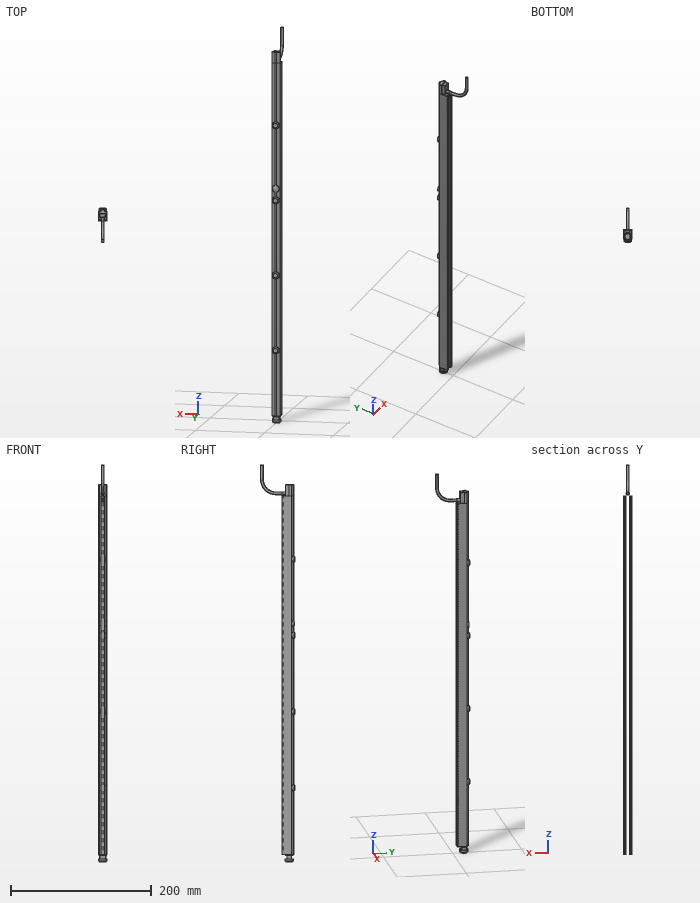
import cadquery as cq
import math

overall_depth = 49.1
overall_height = 564.2

width = 12.0
depth = 17.0
side_depth = 13.6
back_radius = 7.0
back_land_width = 2.0
length = 510.0

slot_mouth_width = 5.0
slot_lip = 0.8
slot_depth = 2.0
slot_cavity_width = 8.6

screw_z = length - 5.7
screw_recess_diameter = 4.8
screw_recess_depth = 2.0
screw_socket_across = 2.5
screw_socket_depth = 1.5

cap_height = 16.0
cap_shoulder_y = 10.2
cap_front_y = 5.0
cap_front_width = 8.6
cap_chamfer = 0.4

foot_y = 10.3
foot_height = 10.5
foot_collar_radius = 5.4
foot_collar_height = 1.2
foot_neck_width = 8.6
foot_neck_depth = 7.0
foot_neck_end = 5.8
foot_flange_radius = width / 2
foot_flange_end = 8.8
foot_tip_radius = 5.2
foot_tip_end_radius = 4.0

button_base_radius = 5.0
button_top_radius = 3.2
button_embed = 4.0
button_height = 1.55
button_count = 4
button_pitch = 108.4
lowest_button_z = 95.0
small_button_top_radius = 0.8
small_button_height = 1.0
small_button_z = 328.5

cable_radius = 2.0
cable_collar_radius = 2.3
bend_radius = 20.0
cable_top_z = overall_height - foot_height
cable_end_length = 20.0
cable_axis_z = cable_top_z - cable_end_length - bend_radius
cable_upright_y = depth + button_height - overall_depth + cable_radius
bend_start_y = cable_upright_y + bend_radius


def rounded_back_prism(front_y, bottom_z, height):
    """Full-width prism with a rounded back and a narrow flat land, standing on bottom_z."""
    half = width / 2
    half_land = back_land_width / 2
    return (
        cq.Workplane("XY")
        .workplane(offset=bottom_z)
        .moveTo(-half, front_y)
        .lineTo(half, front_y)
        .lineTo(half, side_depth)
        .radiusArc((half_land, depth), back_radius)
        .lineTo(-half_land, depth)
        .radiusArc((-half, side_depth), back_radius)
        .close()
        .extrude(height)
    )


def box_between(box_width, y_start, y_end, z_start, z_end):
    """Box centred on X and spanning the given Y and Z ranges."""
    return cq.Workplane("XY").box(
        box_width, y_end - y_start, z_end - z_start, centered=(True, False, False)
    ).translate((0, y_start, z_start))


def make_profile():
    profile = rounded_back_prism(0, 0, length)
    mouth = box_between(slot_mouth_width, 0, slot_lip, 0, length)
    cavity = box_between(slot_cavity_width, slot_lip, slot_depth, 0, length)
    slot_floor = cq.Workplane("XZ", origin=(0, slot_depth, screw_z))
    recess = slot_floor.circle(screw_recess_diameter / 2).extrude(-screw_recess_depth)
    socket_depth = screw_recess_depth + screw_socket_depth
    socket = slot_floor.polygon(6, screw_socket_across, circumscribed=True).extrude(-socket_depth)
    return profile.cut(mouth).cut(cavity).cut(recess).cut(socket)


def make_cap():
    back = rounded_back_prism(cap_shoulder_y, length, cap_height)
    front = box_between(cap_front_width, cap_front_y, cap_shoulder_y, length, length + cap_height)
    chamfered_back = back.faces(">Z").chamfer(cap_chamfer)
    chamfered_front = front.faces(">Z").chamfer(cap_chamfer)
    return chamfered_back.union(chamfered_front)


def make_foot():
    """Foot hanging below the profile."""
    center = (0, foot_y)
    collar = cq.Workplane("XY").center(*center).circle(foot_collar_radius).extrude(-foot_collar_height)
    neck = cq.Workplane("XY").center(*center).rect(foot_neck_width, foot_neck_depth).extrude(-foot_flange_end)
    flange_and_tip = (
        cq.Workplane("XZ", origin=(0, foot_y, 0))
        .moveTo(0, -foot_neck_end)
        .lineTo(foot_flange_radius, -foot_neck_end)
        .lineTo(foot_flange_radius, -foot_flange_end)
        .lineTo(foot_tip_radius, -foot_flange_end)
        .lineTo(foot_tip_end_radius, -foot_height)
        .lineTo(0, -foot_height)
        .close()
        .revolve(360, (0, 0), (0, 1))
    )
    return collar.union(neck).union(flange_and_tip)


def make_button(center_z, top_radius, height):
    """Round button rising from the back, with a tapered side and a flat top."""
    base_y = depth - button_embed
    top_y = depth + height
    return (
        cq.Workplane("XY", origin=(0, 0, center_z))
        .moveTo(0, base_y)
        .lineTo(button_base_radius, base_y)
        .lineTo(button_base_radius, depth)
        .lineTo(top_radius, top_y)
        .lineTo(0, top_y)
        .close()
        .revolve(360, (0, 0), (0, 1))
    )


def make_housing():
    housing = make_profile().union(make_foot())
    for index in range(button_count):
        button_z = lowest_button_z + index * button_pitch
        housing = housing.union(make_button(button_z, button_top_radius, button_height))
    return housing.union(make_button(small_button_z, small_button_top_radius, small_button_height))


def make_cable():
    """Round cable running forward from the cap and bending upward."""
    bend_mid = bend_radius * math.sqrt(0.5)
    bend_center_z = cable_axis_z + bend_radius
    path = (
        cq.Workplane("YZ")
        .moveTo(cap_front_y, cable_axis_z)
        .lineTo(bend_start_y, cable_axis_z)
        .threePointArc(
            (bend_start_y - bend_mid, bend_center_z - bend_mid),
            (cable_upright_y, bend_center_z),
        )
        .lineTo(cable_upright_y, cable_top_z)
    )
    start = cq.Workplane("XZ", origin=(0, cap_front_y, cable_axis_z))
    collar = start.circle(cable_collar_radius).extrude(cap_front_y)
    return start.circle(cable_radius).sweep(path).union(collar)


def make_cable_cap():
    """End cap with the cable fixed to its front."""
    return make_cap().union(make_cable())


housing = make_housing()
cable_cap = make_cable_cap()

result = cq.Compound.makeCompound([housing.val(), cable_cap.val()])